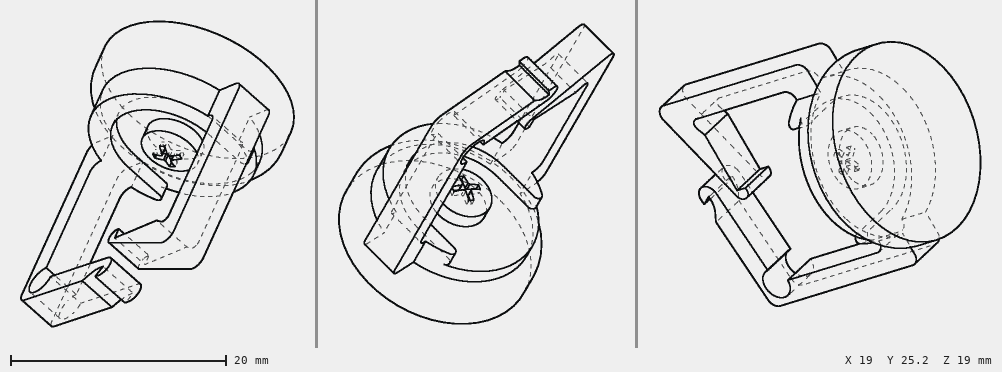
import cadquery as cq
import math


puck_radius = 9.5
puck_thickness = 4.5
puck_edge_radius = 2.0

clip_angle = 47.3
clip_width = 4.0
frame_half_span = 11.04
wall_thickness = 2.2
inner_half_span = frame_half_span - wall_thickness
corner_radius = 1.0

base_radius = 8.0
base_thickness = 3.2
recess_radius = 5.8
recess_floor = 1.6
horn_tip_radius = 0.5

catch_face_out = 15.95
catch_nook_along = 7.1
catch_nook_slope = 0.55
catch_nook_radius = 0.6
catch_lip_height = 1.13
catch_lip_width = 1.0
catch_lip_radius = 0.75
catch_tip_out = 16.2
catch_back_slope = 0.357

latch_angle = 5.0
latch_tip_along = 1.24
latch_tip_out = 19.59
latch_tip_radius = 1.08
hinge_hole_out = 17.63
hinge_hole_radius = 1.5

undercut_face_angle = 30.0
undercut_arc_mid = (0.4, 19.6)
undercut_arc_end = (-0.3, 19.83)
undercut_heel_along = -1.33

head_radius = 2.8
head_rim_out = 3.12
head_top_out = 4.02
cross_arm_length = 2.8
cross_arm_width = 0.55
cross_core_radius = 0.5
cross_depth = 0.8
cross_angle = 21.0

across_plane = cq.Plane(
    origin=(0, 0, 0),
    xDir=(math.cos(math.radians(clip_angle)), 0, math.sin(math.radians(clip_angle))),
    normal=(math.sin(math.radians(clip_angle)), 0, -math.cos(math.radians(clip_angle))),
)


def face_plane(out):
    """Plane parallel to the puck face, facing -Y, with local x along the clip frame."""
    return cq.Plane(origin=(0, -out, 0), xDir=across_plane.xDir.toTuple(), normal=(0, -1, 0))


def rounded_outline(plane, corners):
    """Closed polygon from (x, y, radius) corners, each corner rounded by a tangent arc."""
    points = [cq.Vector(x, y) for x, y, _ in corners]
    outline = cq.Workplane(plane)
    for i, (_, _, radius) in enumerate(corners):
        corner = points[i]
        to_last = (points[i - 1] - corner).normalized()
        to_next = (points[(i + 1) % len(points)] - corner).normalized()
        half_angle = to_last.getAngle(to_next) / 2
        setback = radius / math.tan(half_angle)
        arc_start = corner + to_last * setback
        arc_end = corner + to_next * setback
        bisector = (to_last + to_next).normalized()
        arc_mid = corner + bisector * (radius / math.sin(half_angle) - radius)
        step = outline.moveTo if i == 0 else outline.lineTo
        outline = step(arc_start.x, arc_start.y)
        if radius > 0:
            outline = outline.threePointArc((arc_mid.x, arc_mid.y), (arc_end.x, arc_end.y))
    return outline.close()


def make_puck():
    disc = cq.Workplane("XZ").circle(puck_radius).extrude(-puck_thickness)
    return disc.faces("<Y").edges().fillet(puck_edge_radius)


def latch_side_out(along, side):
    """Height of the latch's outer (side = 1) or inner (side = -1) face at a place along the frame."""
    angle = math.radians(latch_angle)
    offset = side * latch_tip_radius / math.cos(angle)
    return latch_tip_out + offset + (along - latch_tip_along) * math.tan(angle)


def make_frame():
    angle = math.radians(latch_angle)
    tip_shift_along = latch_tip_radius * math.sin(angle)
    tip_shift_out = latch_tip_radius * math.cos(angle)
    nook_out = catch_face_out + catch_nook_slope * (inner_half_span - catch_nook_along)
    catch_heel_out = catch_tip_out + catch_back_slope * frame_half_span
    lip_out = catch_face_out - catch_lip_height
    corners = [
        (-frame_half_span, 0, corner_radius),
        (-frame_half_span, latch_side_out(-frame_half_span, 1), corner_radius),
        (latch_tip_along - tip_shift_along, latch_tip_out + tip_shift_out, 0),
        (latch_tip_along + tip_shift_along, latch_tip_out - tip_shift_out, 0),
        (-inner_half_span, latch_side_out(-inner_half_span, -1), 0),
        (-inner_half_span, base_thickness, corner_radius),
        (inner_half_span, base_thickness, corner_radius),
        (inner_half_span, nook_out, catch_nook_radius),
        (catch_nook_along, catch_face_out, 0),
        (catch_lip_width, catch_face_out, 0),
        (catch_lip_width, lip_out, 0),
        (0, lip_out, catch_lip_radius),
        (0, catch_tip_out, catch_lip_radius),
        (frame_half_span, catch_heel_out, corner_radius),
        (frame_half_span, 0, corner_radius),
    ]
    half_width = clip_width / 2
    frame = rounded_outline(across_plane, corners).extrude(half_width, both=True)

    latch_tip = (
        cq.Workplane(across_plane)
        .center(latch_tip_along, latch_tip_out)
        .circle(latch_tip_radius)
        .extrude(half_width, both=True)
    )
    hinge_hole = (
        cq.Workplane(across_plane)
        .center(-inner_half_span, hinge_hole_out)
        .circle(hinge_hole_radius)
        .extrude(half_width, both=True)
    )
    return frame.union(latch_tip).cut(hinge_hole).cut(make_undercut())


def make_undercut():
    """Hooked notch that starts at the centre of the latch tip and opens outward."""
    angle = math.radians(undercut_face_angle)
    reach = 2 * latch_tip_radius
    mouth = (latch_tip_along - reach * math.sin(angle), latch_tip_out + reach * math.cos(angle))
    return (
        cq.Workplane(across_plane)
        .moveTo(latch_tip_along, latch_tip_out)
        .threePointArc(undercut_arc_mid, undercut_arc_end)
        .lineTo(undercut_heel_along, latch_side_out(undercut_heel_along, 1))
        .lineTo(undercut_heel_along, mouth[1])
        .lineTo(*mouth)
        .close()
        .extrude(clip_width / 2, both=True)
    )


def make_recess():
    """U-shaped space above the recess floor, open on the side away from its round end."""
    return (
        cq.Workplane(face_plane(recess_floor))
        .moveTo(-recess_radius, 0)
        .threePointArc((0, recess_radius), (recess_radius, 0))
        .lineTo(recess_radius, -base_radius)
        .lineTo(-recess_radius, -base_radius)
        .close()
        .extrude(base_thickness - recess_floor)
    )


def make_clip():
    recess = make_recess()
    base = cq.Workplane(face_plane(0)).circle(base_radius).extrude(base_thickness).cut(recess)

    horn_across = -math.sqrt(base_radius**2 - recess_radius**2)
    horn_plane = face_plane((recess_floor + base_thickness) / 2)
    for horn_along in (-recess_radius, recess_radius):
        tip = horn_plane.toWorldCoords((horn_along, horn_across, 0))
        base = base.edges(cq.selectors.NearestToPointSelector(tip.toTuple())).fillet(horn_tip_radius)

    return base.union(make_frame().cut(recess))


def make_screw_head():
    half_sweep = math.atan((head_top_out - head_rim_out) / head_radius)
    dome_radius = head_radius / math.sin(2 * half_sweep)
    dome_center_out = head_top_out - dome_radius
    mid_point = (
        dome_radius * math.sin(half_sweep),
        -dome_center_out - dome_radius * math.cos(half_sweep),
    )
    head = (
        cq.Workplane("XY")
        .moveTo(0, -recess_floor)
        .lineTo(head_radius, -recess_floor)
        .lineTo(head_radius, -head_rim_out)
        .threePointArc(mid_point, (0, -head_top_out))
        .close()
        .revolve(360, (0, 0), (0, 1))
    )
    core = (
        cq.Workplane("XZ", origin=(0, -head_top_out, 0))
        .circle(cross_core_radius)
        .extrude(-cross_depth)
    )
    head = head.cut(core)
    for turn in (cross_angle, cross_angle + 90):
        slot = (
            cq.Workplane("XZ", origin=(0, -head_top_out, 0))
            .transformed(rotate=(0, 0, turn))
            .rect(cross_arm_width, cross_arm_length)
            .extrude(-cross_depth)
        )
        head = head.cut(slot)
    return head


puck = make_puck()
clip = make_clip()
screw_head = make_screw_head()

result = cq.Compound.makeCompound([puck.val(), clip.val(), screw_head.val()])